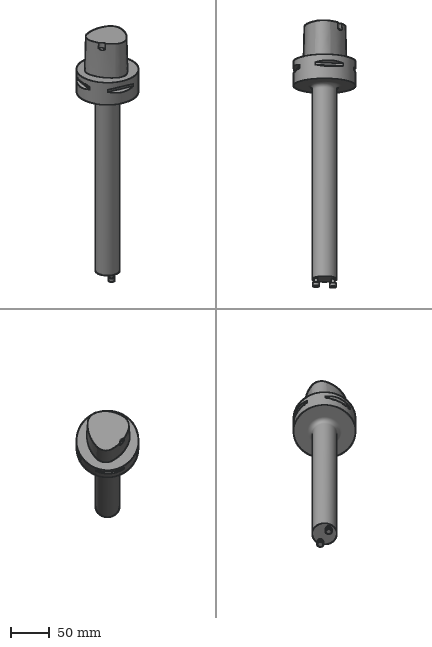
import cadquery as cq
import math

flange_diameter = 80.0
flange_height = 32.0
flange_radius = flange_diameter / 2

shank_height = 48.0
shank_mean_radius = 55.0 / 2
shank_lobe_offset = 2.0
lobe_center_distance = 12.8
shank_taper_run = 40
lobe_count = 3
first_lobe_angle = 90

notch_radius = 6.5
notch_depth = 7.5
notch_axis_y = -28.7

groove_count = 4
first_groove_angle = 45
groove_center_z = -11.8
groove_floor_height = 3.0
groove_depth = 4.5
groove_wall_angle = 30

bar_diameter = 32.0
bar_fillet = 6.0

pin_diameter = 5.0
pin_head_diameter = 8.5
pin_head_height = 5.2
pin_neck_length = 5.2
pin_head_chamfer = 0.7
pin_spacing = 15.5

total_length = 346.0
bar_end_z = shank_height - total_length + pin_neck_length + pin_head_height


def polar_point(radius, angle):
    """Point at a distance from the axis, with the angle in degrees from +X."""
    return (radius * math.cos(math.radians(angle)), radius * math.sin(math.radians(angle)))


def make_shank():
    """Three lobe arcs joined by tangent flank arcs, drawn inward toward the top."""
    lobe_tip = shank_mean_radius + shank_lobe_offset
    flank_middle = shank_mean_radius - shank_lobe_offset
    lobe_radius = lobe_tip - lobe_center_distance

    swing = lobe_tip - flank_middle
    flank_center_distance = (2 * swing * lobe_center_distance - swing**2) / (
        lobe_center_distance - 2 * swing
    )

    lobe_pitch = 360 / lobe_count

    flank_center_x, flank_center_y = polar_point(flank_center_distance, lobe_pitch / 2 - 180)
    tangent_angle = math.atan2(-flank_center_y, lobe_center_distance - flank_center_x)
    tangent_x = lobe_center_distance + lobe_radius * math.cos(tangent_angle)
    tangent_y = lobe_radius * math.sin(tangent_angle)
    seam_radius = math.hypot(tangent_x, tangent_y)
    seam_angle = math.degrees(math.atan2(tangent_y, tangent_x))

    outline_start = polar_point(seam_radius, first_lobe_angle - seam_angle)
    outline = cq.Workplane("XY").moveTo(*outline_start)
    for index in range(lobe_count):
        lobe = first_lobe_angle + index * lobe_pitch
        outline = outline.threePointArc(
            polar_point(lobe_tip, lobe), polar_point(seam_radius, lobe + seam_angle)
        )
        outline = outline.threePointArc(
            polar_point(flank_middle, lobe + lobe_pitch / 2),
            polar_point(seam_radius, lobe + lobe_pitch - seam_angle),
        )
    taper_angle = math.degrees(math.atan(1 / shank_taper_run))
    return outline.close().extrude(shank_height, taper=taper_angle)


def make_notch():
    """Upright drill shape whose 90 degree tip slopes the notch floor outward."""
    floor_z = shank_height - notch_depth
    return (
        cq.Workplane("XZ")
        .moveTo(0, shank_height)
        .lineTo(notch_radius, shank_height)
        .lineTo(notch_radius, floor_z)
        .lineTo(0, floor_z - notch_radius)
        .close()
        .revolve(360, (0, 0), (0, 1))
        .translate((0, notch_axis_y, 0))
    )


def make_flange_and_bar():
    """Flange and bar turned as one body, with a concave fillet between them."""
    bar_radius = bar_diameter / 2
    fillet_center = (bar_radius + bar_fillet, -flange_height - bar_fillet)
    fillet_middle = (
        fillet_center[0] - bar_fillet * math.sqrt(0.5),
        fillet_center[1] + bar_fillet * math.sqrt(0.5),
    )
    return (
        cq.Workplane("XZ")
        .lineTo(flange_radius, 0)
        .lineTo(flange_radius, -flange_height)
        .lineTo(bar_radius + bar_fillet, -flange_height)
        .threePointArc(fillet_middle, (bar_radius, -flange_height - bar_fillet))
        .lineTo(bar_radius, bar_end_z)
        .lineTo(0, bar_end_z)
        .close()
        .revolve(360, (0, 0), (0, 1))
    )


def make_groove(angle):
    """Straight groove with a flat floor and sloping walls, cut across the rim."""
    floor_x = flange_radius - groove_depth
    floor_half = groove_floor_height / 2
    outer_half = floor_half + groove_depth * math.tan(math.radians(groove_wall_angle))
    return (
        cq.Workplane("XZ")
        .moveTo(floor_x, groove_center_z - floor_half)
        .lineTo(flange_radius, groove_center_z - outer_half)
        .lineTo(flange_radius, groove_center_z + outer_half)
        .lineTo(floor_x, groove_center_z + floor_half)
        .close()
        .extrude(flange_radius, both=True)
        .rotate((0, 0, 0), (0, 0, 1), angle)
    )


def make_pin(x, y):
    """Narrow neck with a wider head, chamfered at its lower rim."""
    neck = cq.Workplane("XY").circle(pin_diameter / 2).extrude(-pin_neck_length)
    head = (
        cq.Workplane("XY", origin=(0, 0, -pin_neck_length))
        .circle(pin_head_diameter / 2)
        .extrude(-pin_head_height)
        .faces("<Z")
        .chamfer(pin_head_chamfer)
    )
    return neck.union(head).translate((x, y, bar_end_z))


result = make_flange_and_bar().union(make_shank()).cut(make_notch())

for groove_index in range(groove_count):
    result = result.cut(make_groove(first_groove_angle + groove_index * 360 / groove_count))

for side in (-1, 1):
    result = result.union(make_pin(side * pin_spacing / 2, -side * pin_spacing / 2))